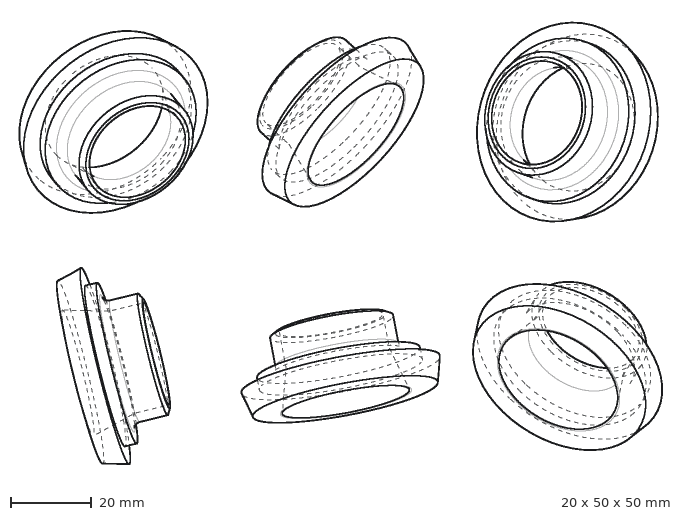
import cadquery as cq
import math

total_length = 20.0
flange_radius = 25.0
flange_back = 7.0
taper_angle = 15.0
face_rim = 0.6
shoulder_radius = 20.5
shoulder_back = 10.0
hub_radius = 15.5
hub_fillet = 2.0
hub_chamfer_length = 0.85
hub_chamfer_depth = 1.5
bore_radius = 13.0
mouth_radius = 16.0
face_land = 0.5

taper_slope = math.tan(math.radians(taper_angle))
rim_front_radius = flange_radius - (flange_back - face_rim) * taper_slope
bore_start = (mouth_radius - bore_radius) / taper_slope
fillet_offset = hub_fillet * (1 - math.sqrt(0.5))

section = (
    cq.Workplane("XY")
    .moveTo(0, mouth_radius + face_land)
    .lineTo(face_rim, rim_front_radius)
    .lineTo(flange_back, flange_radius)
    .lineTo(flange_back, shoulder_radius)
    .lineTo(shoulder_back, shoulder_radius)
    .lineTo(shoulder_back, hub_radius + hub_fillet)
    .threePointArc(
        (shoulder_back + fillet_offset, hub_radius + fillet_offset),
        (shoulder_back + hub_fillet, hub_radius),
    )
    .lineTo(total_length - hub_chamfer_length, hub_radius)
    .lineTo(total_length, hub_radius - hub_chamfer_depth)
    .lineTo(total_length, bore_radius)
    .lineTo(bore_start, bore_radius)
    .lineTo(0, mouth_radius)
    .close()
)

result = section.revolve(360, (0, 0, 0), (1, 0, 0))